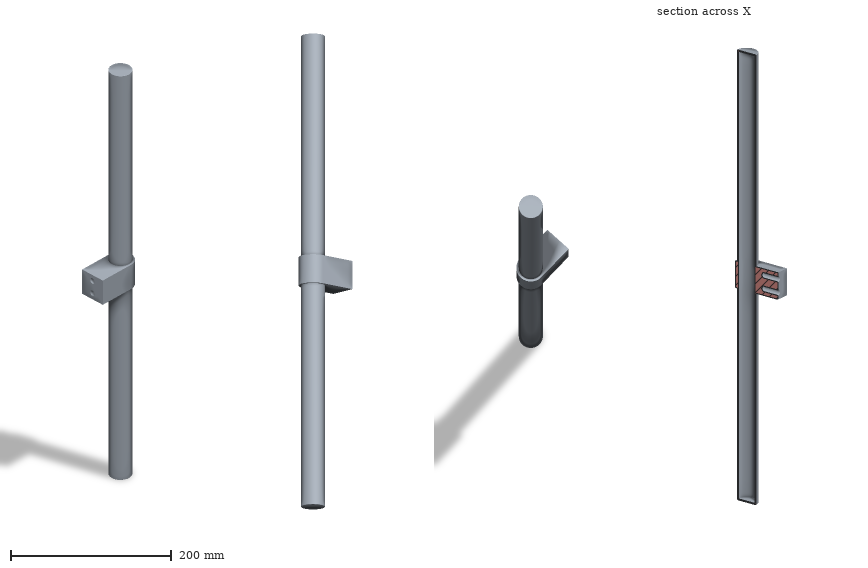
import cadquery as cq
import math

rod_length = 600.0
rod_diameter = 30.0
bore_diameter = 26.0
cap_thickness = 2.0
end_chamfer = 0.3

bracket_width = 36.0
bracket_height = 36.0
bracket_reach = 50.0

hole_diameter = 6.5
hole_spacing = 18.0
hole_depth = 24.0
countersink_diameter = 8.0
countersink_depth = (countersink_diameter - hole_diameter) / 2
drill_tip_angle = 118.0


def cylinder(diameter, length):
    """Cylinder along Z, centred on the origin."""
    return cq.Workplane("XY", origin=(0, 0, -length / 2)).circle(diameter / 2).extrude(length)


def make_bracket():
    """Block reaching toward -Y from a round collar around the rod."""
    block = cq.Workplane("XY").box(
        bracket_width, bracket_reach, bracket_height, centered=(True, False, True)
    ).translate((0, -bracket_reach, 0))
    return cylinder(bracket_width, bracket_height).union(block)


def make_mounting_hole(height):
    """Countersunk blind hole with a conical drill tip, bored along +Y at the given height."""
    hole_radius = hole_diameter / 2
    tip_length = hole_radius / math.tan(math.radians(drill_tip_angle / 2))
    return (
        cq.Workplane("XY")
        .lineTo(countersink_diameter / 2, 0)
        .lineTo(hole_radius, countersink_depth)
        .lineTo(hole_radius, hole_depth)
        .lineTo(0, hole_depth + tip_length)
        .close()
        .revolve(360, (0, 0, 0), (0, 1, 0))
        .translate((0, -bracket_reach, height))
    )


rod = cylinder(rod_diameter, rod_length).faces("|Z").chamfer(end_chamfer)
result = rod.union(make_bracket())
for height in (-hole_spacing / 2, hole_spacing / 2):
    result = result.cut(make_mounting_hole(height))
result = result.cut(cylinder(bore_diameter, rod_length - 2 * cap_thickness))